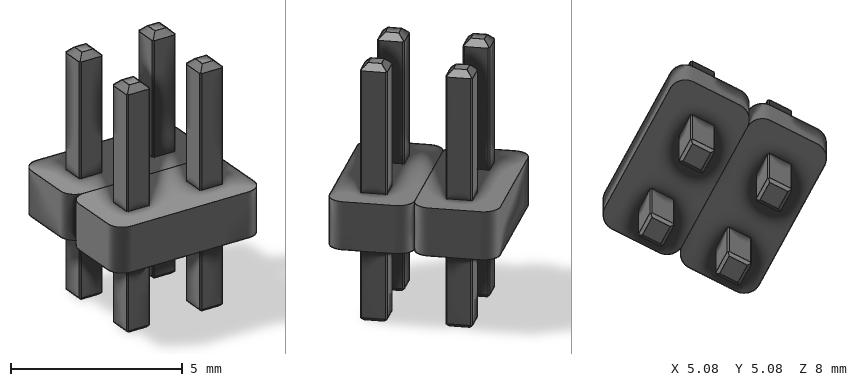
import cadquery as cq

pitch = 2.54
columns = 2
rows = 2

housing_height = 1.5
housing_width = pitch
housing_length = rows * pitch
housing_corner_radius = 0.5

pin_width = 0.8
pin_length = 8.0
pin_below_housing = 2.5
pin_edge_chamfer = 0.05
pin_top_chamfer = 0.2
pin_bottom_chamfer = 0.1

pin_offset = 0.03


def grid_position(index, count):
    """Middle of a grid cell along one axis, with the whole grid centred on the origin."""
    return (index - (count - 1) / 2) * pitch


def pin_position(column, row):
    """Centre of a pin in the XY plane."""
    return (
        grid_position(column, columns) + pin_offset,
        grid_position(row, rows) + pin_offset,
    )


def make_pin(column, row):
    """Square pin with bevelled ends and lightly broken long edges."""
    x, y = pin_position(column, row)
    return (
        cq.Workplane("XY")
        .box(pin_width, pin_width, pin_length, centered=(True, True, False))
        .edges("|Z")
        .chamfer(pin_edge_chamfer)
        .intersect(make_pin_envelope())
        .translate((x, y, -pin_below_housing))
    )


def make_pin_envelope():
    """Sharp-edged square bar with both ends bevelled, which shapes the pin ends."""
    return (
        cq.Workplane("XY")
        .box(pin_width, pin_width, pin_length, centered=(True, True, False))
        .faces(">Z")
        .chamfer(pin_top_chamfer)
        .faces("<Z")
        .chamfer(pin_bottom_chamfer)
    )


def make_housing(column, column_pins):
    """Block with rounded upright corners and a close-fitting hole for each pin."""
    housing = (
        cq.Workplane("XY")
        .box(housing_width, housing_length, housing_height, centered=(True, True, False))
        .edges("|Z")
        .fillet(housing_corner_radius)
        .translate((grid_position(column, columns), 0, 0))
    )
    for pin in column_pins:
        housing = housing.cut(pin)
    return housing


bodies = []
for column in range(columns):
    column_pins = [make_pin(column, row) for row in range(rows)]
    housing = make_housing(column, column_pins)
    bodies.append(housing.solids().val())
    bodies.extend(pin.solids().val() for pin in column_pins)

result = cq.Compound.makeCompound(bodies)